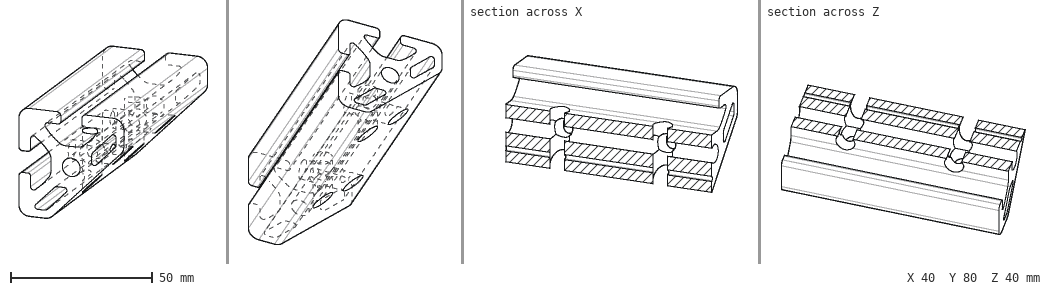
import cadquery as cq
import math

side = 40.0
length = 80.0
half = side / 2
corner_radius = 4.0

slope_offset = 11.72
web_thickness = 3.0
cavity_offset = 1.75

slot_opening = 8.0
lip_thickness = 4.5
slot_depth = 12.25
lip_outer_radius = 1.5
lip_inner_radius = 1.0
slot_floor_width = 4.4
slot_bend_radius = 4.0
slot_bend_angle = 36.5
slot_flank_radius = 25.0
slot_tip_radius = 1.1

cavity_tip_radius = 1.0
cavity_bend_radius = 2.0

core_diameter = 6.8
cross_diameter = 7.0
cross_hole_pitch = 40.0

mouth = slot_opening / 2
lip_underside = half - lip_thickness
slot_floor = half - slot_depth
diagonal_normal = (1, 0, 1)


def extrude_outline(points):
    """Close an outline of (x, z) points and run it over the full length, centered on Y = 0."""
    return cq.Workplane("XZ").polyline(points).close().extrude(length / 2, both=True)


def round_edges(body, points, radius):
    """Fillet the lengthwise edges that pass through the given (x, z) points."""
    for x, z in points:
        edge = cq.selectors.NearestToPointSelector((x, 0, z))
        body = body.edges("|Y").edges(edge).fillet(radius)
    return body


def mirror_across_diagonal(body):
    """Swap the +Z and -X sides of a body."""
    return body.mirror(diagonal_normal)


def make_blank():
    """Square bar with its +X, -Z corner cut off at 45 degrees."""
    slope_end = half - slope_offset
    points = [(-half, -half), (-slope_end, -half), (half, slope_end), (half, half), (-half, half)]
    return round_edges(extrude_outline(points), points, corner_radius)


def point_on_circle(center, radius, angle):
    """Point at an angle in degrees, counted counterclockwise from straight below the center."""
    turn = math.radians(angle)
    return (center[0] + radius * math.sin(turn), center[1] - radius * math.cos(turn))


def mirror_point(point):
    """Reflect an (x, z) point across the center line of the upward T-slot."""
    return (-point[0], point[1])


def make_groove():
    """Wide part of the upward T-slot: flat floor, bend arcs, then shallow flank arcs up to the lips."""
    floor_end = (slot_floor_width / 2, slot_floor)
    bend_center = (floor_end[0], slot_floor + slot_bend_radius)
    bend_middle = point_on_circle(bend_center, slot_bend_radius, slot_bend_angle / 2)
    bend_end = point_on_circle(bend_center, slot_bend_radius, slot_bend_angle)

    flank_center = point_on_circle(bend_end, -slot_flank_radius, slot_bend_angle)
    top_angle = math.degrees(math.acos((flank_center[1] - lip_underside) / slot_flank_radius))
    flank_middle = point_on_circle(flank_center, slot_flank_radius, (slot_bend_angle + top_angle) / 2)
    flank_end = point_on_circle(flank_center, slot_flank_radius, top_angle)

    groove = (
        cq.Workplane("XZ")
        .moveTo(*mirror_point(floor_end))
        .lineTo(*floor_end)
        .threePointArc(bend_middle, bend_end)
        .threePointArc(flank_middle, flank_end)
        .lineTo(*mirror_point(flank_end))
        .threePointArc(mirror_point(flank_middle), mirror_point(bend_end))
        .threePointArc(mirror_point(bend_middle), mirror_point(floor_end))
        .close()
        .extrude(length / 2, both=True)
    )
    return round_edges(groove, [flank_end, mirror_point(flank_end)], slot_tip_radius)


def make_slot():
    """T-slot opening upward: the groove and the narrow mouth between the lips."""
    mouth_points = [(-mouth, lip_underside), (mouth, lip_underside), (mouth, half), (-mouth, half)]
    return make_groove().union(extrude_outline(mouth_points))


def round_lips(body):
    """Round the outer and inner edges of the lips of the upward T-slot."""
    body = round_edges(body, [(-mouth, half), (mouth, half)], lip_outer_radius)
    return round_edges(body, [(-mouth, lip_underside), (mouth, lip_underside)], lip_inner_radius)


def make_cavity():
    """Closed parallelogram cavity between the sloped face and the upward T-slot."""
    inner = slot_floor
    outer = half - web_thickness
    sloped_wall_offset = slope_offset - web_thickness * math.sqrt(2)
    tips = [(inner, inner - sloped_wall_offset), (outer, outer - cavity_offset)]
    bends = [(outer, outer - sloped_wall_offset), (inner, inner - cavity_offset)]
    cavity = extrude_outline([tips[0], bends[0], tips[1], bends[1]])
    cavity = round_edges(cavity, tips, cavity_tip_radius)
    return round_edges(cavity, bends, cavity_bend_radius)


def make_cross_holes():
    """Through holes along Z on the center line of the upward T-slot."""
    return (
        cq.Workplane("XY", origin=(0, 0, -half))
        .pushPoints([(0, -cross_hole_pitch / 2), (0, cross_hole_pitch / 2)])
        .circle(cross_diameter / 2)
        .extrude(side)
    )


def make_core_hole():
    """Lengthwise hole through the center of the section."""
    return cq.Workplane("XZ").circle(core_diameter / 2).extrude(length / 2, both=True)


def cut_on_both_sides(body, tool):
    """Cut a tool and its mirror image across the diagonal."""
    return body.cut(tool).cut(mirror_across_diagonal(tool))


profile = cut_on_both_sides(make_blank(), make_slot())
profile = round_lips(profile)
profile = round_lips(mirror_across_diagonal(profile))
profile = cut_on_both_sides(profile, make_cavity())
profile = profile.cut(make_core_hole())
result = cut_on_both_sides(profile, make_cross_holes())